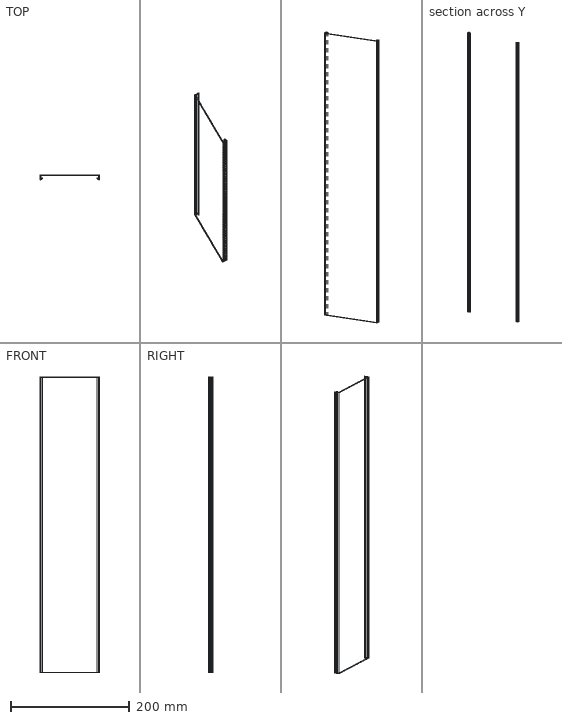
import cadquery as cq
import math


LENGTH = 500.0
HEIGHT = 8.22
LID_WIDTH = 100.0
OVERALL_WIDTH = 100.38

PLATE_THICKNESS = 1.2
CORNER_RADIUS = 0.5
SIDE_DEPTH = 2.82
SHOULDER_DEPTH = 3.12
SHOULDER_INSET = 0.65
STRIP_SEAT_INSET = 1.4
SKIRT_INNER_INSET = 1.85
BARB_INSET = 4.49
BARB_HEIGHT = 1.02
BARB_TOP_INSET = 4.06
BARB_ROOT_DEPTH = 5.38

UPPER_RIB_DEPTH = 4.12
GROOVE_DEPTH = 6.13
UPPER_FLARE_ANGLE = 30.0
LOWER_FLARE_ANGLE = 50.0
TAPER_ANGLE = 10.0
HOOK_ANGLE = 30.0


def tan_deg(angle):
    return math.tan(math.radians(angle))


side_inset = (OVERALL_WIDTH - LID_WIDTH) / 2
upper_rib_inset = SHOULDER_INSET - (UPPER_RIB_DEPTH - SHOULDER_DEPTH) * tan_deg(UPPER_FLARE_ANGLE)
groove_inset = upper_rib_inset + (GROOVE_DEPTH - UPPER_RIB_DEPTH) * tan_deg(TAPER_ANGLE)
lower_rib_depth = GROOVE_DEPTH + groove_inset / tan_deg(LOWER_FLARE_ANGLE)
tip_inset = (HEIGHT - lower_rib_depth) * tan_deg(TAPER_ANGLE)


def underside_depth(inset):
    """Depth of the sloping underside shared by the strip and the hook."""
    return HEIGHT - (inset - tip_inset) * tan_deg(HOOK_ANGLE)


def place(inset, depth, side):
    """Section point from its inset and depth; side is -1 for the -X edge and 1 for the +X edge."""
    return (side * (OVERALL_WIDTH / 2 - inset), HEIGHT / 2 - depth)


def section_plane():
    return cq.Workplane("XY", origin=(0, 0, -LENGTH / 2))


def make_lid():
    """Flat plate with rounded outer corners and a hooked skirt along each edge."""
    skirt = [
        (side_inset, SIDE_DEPTH),
        (SHOULDER_INSET, SHOULDER_DEPTH),
        (STRIP_SEAT_INSET, SHOULDER_DEPTH),
        (STRIP_SEAT_INSET, underside_depth(STRIP_SEAT_INSET)),
        (BARB_INSET, underside_depth(BARB_INSET)),
        (BARB_TOP_INSET, underside_depth(BARB_INSET) - BARB_HEIGHT),
        (SKIRT_INNER_INSET, BARB_ROOT_DEPTH),
        (SKIRT_INNER_INSET, PLATE_THICKNESS),
    ]
    arc_rise = CORNER_RADIUS * (1 - math.sqrt(0.5))
    corner_top = (side_inset + CORNER_RADIUS, 0)
    corner_middle = (side_inset + arc_rise, arc_rise)
    corner_side = (side_inset, CORNER_RADIUS)

    outline = section_plane().moveTo(*place(*corner_top, -1))
    outline = outline.threePointArc(place(*corner_middle, -1), place(*corner_side, -1))
    for point in skirt:
        outline = outline.lineTo(*place(*point, -1))
    for point in reversed(skirt):
        outline = outline.lineTo(*place(*point, 1))
    outline = outline.lineTo(*place(*corner_side, 1))
    outline = outline.threePointArc(place(*corner_middle, 1), place(*corner_top, 1))
    return outline.close().extrude(LENGTH)


def make_side_strip(side):
    """Strip with two outward ribs, seated under the lid's shoulder and against its skirt."""
    outline = [
        (SHOULDER_INSET, SHOULDER_DEPTH),
        (upper_rib_inset, UPPER_RIB_DEPTH),
        (groove_inset, GROOVE_DEPTH),
        (0, lower_rib_depth),
        (tip_inset, HEIGHT),
        (STRIP_SEAT_INSET, underside_depth(STRIP_SEAT_INSET)),
        (STRIP_SEAT_INSET, SHOULDER_DEPTH),
    ]
    points = [place(inset, depth, side) for inset, depth in outline]
    return section_plane().polyline(points).close().extrude(LENGTH)


lid = make_lid()
side_strips = [make_side_strip(side) for side in (-1, 1)]

result = cq.Compound.makeCompound([lid.val(), *[strip.val() for strip in side_strips]])